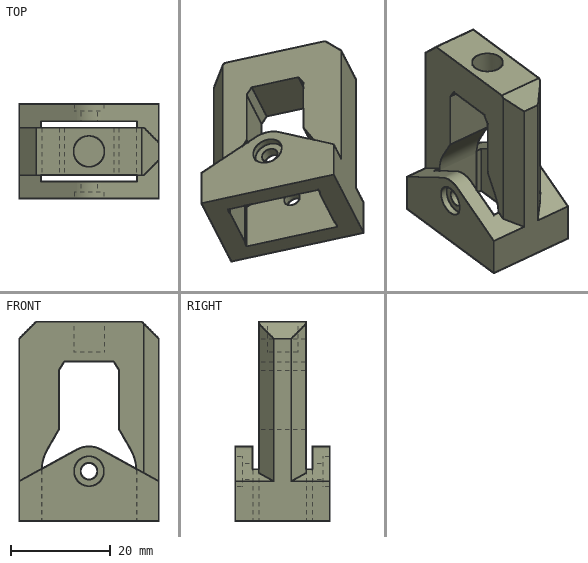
import cadquery as cq
import math

length = 28.0
width = 19.0
height = 40.0
half_length = length / 2

shoulder_height = 8.0
pivot_height = 10.0
peak_radius = 5.0
pocket_length = 19.2
pocket_width = 12.0
pivot_diameter = 3.3
counterbore_diameter = 6.0
counterbore_depth = 1.4

frame_width = 9.5
top_chamfer = 3.4
edge_chamfer = 3.0
top_bar_thickness = 8.0
top_hole_diameter = 6.2
top_hole_depth = 6.0

window_half_width = 6.0
window_corner_run = 1.1
window_corner_drop = 1.7
flare_start_height = 18.4
flare_half_width = 9.5
flare_angle = math.radians(30)
flare_radius = 8.8


def extrude_along_y(outline, thickness):
    """Extrude a closed XZ outline symmetrically about the XZ plane."""
    return outline.close().extrude(thickness / 2, both=True)


def make_base():
    rise = pivot_height - shoulder_height
    slope = math.atan2(rise, half_length) + math.asin(peak_radius / math.hypot(half_length, rise))
    tangent_x = peak_radius * math.sin(slope)
    tangent_z = pivot_height + peak_radius * math.cos(slope)
    outline = (
        cq.Workplane("XZ")
        .moveTo(-half_length, 0)
        .lineTo(half_length, 0)
        .lineTo(half_length, shoulder_height)
        .lineTo(tangent_x, tangent_z)
        .threePointArc((0, pivot_height + peak_radius), (-tangent_x, tangent_z))
        .lineTo(-half_length, shoulder_height)
    )
    pocket = cq.Workplane("XY").rect(pocket_length, pocket_width).extrude(height)
    return extrude_along_y(outline, width).cut(pocket)


def make_window():
    window_top = height - top_bar_thickness
    top_half_width = window_half_width - window_corner_run
    corner_height = window_top - window_corner_drop

    arc_center_x = flare_half_width - flare_radius
    bend_x = arc_center_x + flare_radius * math.cos(flare_angle)
    bend_z = flare_start_height - (bend_x - window_half_width) / math.tan(flare_angle)
    flare_end_height = bend_z - flare_radius * math.sin(flare_angle)
    middle_x = arc_center_x + flare_radius * math.cos(flare_angle / 2)
    middle_z = flare_end_height + flare_radius * math.sin(flare_angle / 2)

    outline = (
        cq.Workplane("XZ")
        .moveTo(-flare_half_width, 0)
        .lineTo(flare_half_width, 0)
        .lineTo(flare_half_width, flare_end_height)
        .threePointArc((middle_x, middle_z), (bend_x, bend_z))
        .lineTo(window_half_width, flare_start_height)
        .lineTo(window_half_width, corner_height)
        .lineTo(top_half_width, window_top)
        .lineTo(-top_half_width, window_top)
        .lineTo(-window_half_width, corner_height)
        .lineTo(-window_half_width, flare_start_height)
        .lineTo(-bend_x, bend_z)
        .threePointArc((-middle_x, middle_z), (-flare_half_width, flare_end_height))
    )
    return extrude_along_y(outline, frame_width)


def make_frame():
    frame = (
        cq.Workplane("XY")
        .box(length, frame_width, height, centered=(True, True, False))
        .edges("|Z and >X")
        .chamfer(edge_chamfer)
    )
    for side in (-1, 1):
        corner = (
            cq.Workplane("XZ")
            .moveTo(side * half_length, height)
            .lineTo(side * (half_length - top_chamfer), height)
            .lineTo(side * half_length, height - top_chamfer)
        )
        frame = frame.cut(extrude_along_y(corner, frame_width))
    top_hole = (
        cq.Workplane("XY", origin=(0, 0, height))
        .circle(top_hole_diameter / 2)
        .extrude(-top_hole_depth)
    )
    return frame.cut(make_window()).cut(top_hole)


def make_pivot_cutter():
    """Through hole with a counterbore in the outer face of each cheek."""
    axis_plane = cq.Workplane("XZ").center(0, pivot_height)
    cutter = axis_plane.circle(pivot_diameter / 2).extrude(width / 2, both=True)
    bores = axis_plane.circle(counterbore_diameter / 2).extrude(width / 2, both=True)
    core = cq.Workplane("XY").box(length, width - 2 * counterbore_depth, 2 * height)
    return cutter.union(bores.cut(core))


result = make_base().union(make_frame()).cut(make_pivot_cutter())